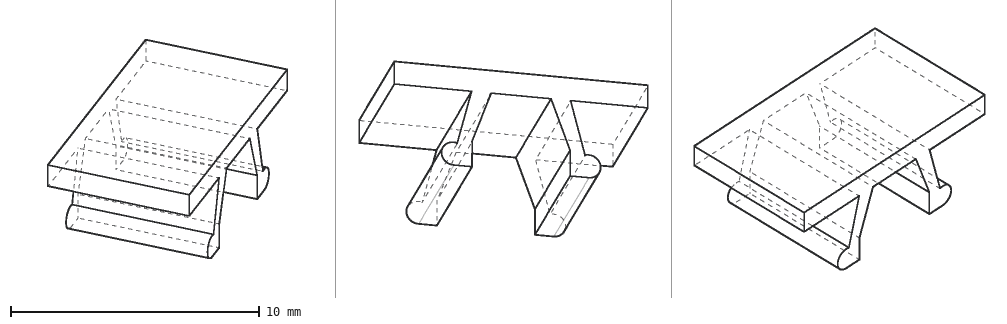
import cadquery as cq
import math

width = 6.15
plate_length = 10.5
plate_thickness = 1.0
total_height = 4.3

leg_root_inner = 1.24
leg_root_outer = 2.05
foot_inner = 2.03
foot_inner_height = 1.12
neck_outer = 2.65
bead_reach = 3.3
bead_diameter = 1.0

bead_radius = bead_diameter / 2
bead_center = bead_reach - bead_radius
neck_height = bead_radius + math.sqrt(bead_radius**2 - (bead_center - neck_outer) ** 2)
plate_bottom = total_height - plate_thickness


def make_plate():
    """Flat rectangular plate, with its top at the full height."""
    plate = cq.Workplane("XY").box(width, plate_length, plate_thickness, centered=(True, True, False))
    return plate.translate((0, 0, plate_bottom))


def make_leg():
    """Tapered leg on the +Y side, splayed outward and ending in a rounded bead."""
    return (
        cq.Workplane("YZ")
        .moveTo(leg_root_inner, total_height)
        .lineTo(leg_root_inner, plate_bottom)
        .lineTo(foot_inner, foot_inner_height)
        .lineTo(foot_inner, 0)
        .lineTo(bead_center, 0)
        .threePointArc((bead_reach, bead_radius), (neck_outer, neck_height))
        .lineTo(leg_root_outer, plate_bottom)
        .lineTo(leg_root_outer, total_height)
        .close()
        .extrude(width / 2, both=True)
    )


leg = make_leg()
result = make_plate().union(leg).union(leg.mirror("XZ"))